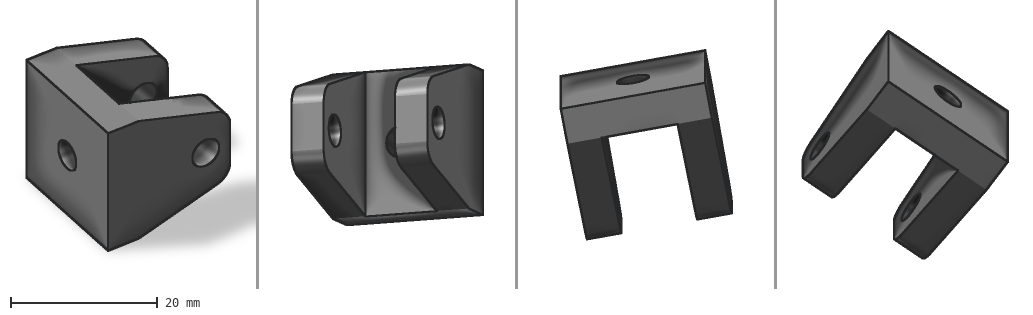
import cadquery as cq

width = 20.0
depth = 20.0
height = 20.0

base_thickness = 5.0
ear_thickness = 4.75
slot_width = width - 2 * ear_thickness
ear_taper_drop = 4.5
tip_corner_radius = 3.0

hole_diameter = 4.4
pin_hole_from_tip = 4.0


def clevis_profile():
    """Side outline extruded across the full width, with rounded corners at the ear tips."""
    half_height = height / 2
    tip_half_height = half_height - ear_taper_drop
    outline = [
        (0, -half_height),
        (base_thickness, -half_height),
        (depth, -tip_half_height),
        (depth, tip_half_height),
        (base_thickness, half_height),
        (0, half_height),
    ]
    body = cq.Workplane("YZ").polyline(outline).close().extrude(width / 2, both=True)
    return body.faces(">Y").edges("|X").fillet(tip_corner_radius)


def ear_slot():
    """Block that separates the two ears, open at the tip."""
    slot_depth = depth - base_thickness
    return (
        cq.Workplane("XY")
        .box(slot_width, slot_depth, height, centered=(True, False, True))
        .translate((0, base_thickness, 0))
    )


def mounting_hole():
    """Hole through the base plate along Y."""
    return cq.Workplane("XZ").circle(hole_diameter / 2).extrude(-base_thickness)


def pin_hole():
    """Hole through both ears along X."""
    return (
        cq.Workplane("YZ")
        .center(depth - pin_hole_from_tip, 0)
        .circle(hole_diameter / 2)
        .extrude(width / 2, both=True)
    )


result = clevis_profile().cut(ear_slot()).cut(mounting_hole()).cut(pin_hole())